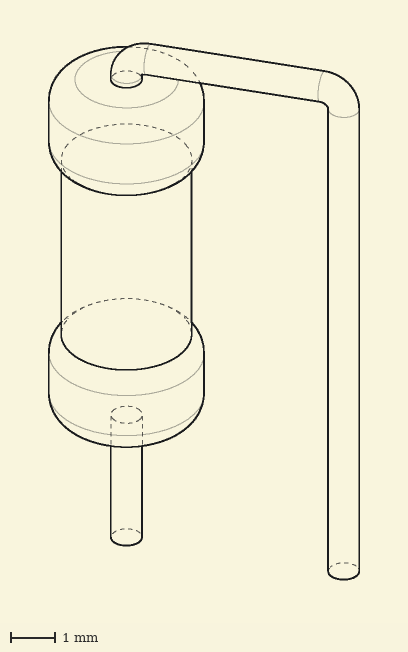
import cadquery as cq

total_height = 13.3
lead_diameter = 0.7
lead_pitch = 5.08
bend_radius = 0.5

body_diameter = 2.94
cap_diameter = 3.5
body_bottom = 3.3
body_top = 12.32
cap_height = 2.25
cap_fillet = 0.59

lead_radius = lead_diameter / 2
crossbar_height = total_height - lead_radius


def make_cap(bottom):
    """End cap with both rims rounded."""
    cap = cq.Workplane("XY").workplane(offset=bottom).circle(cap_diameter / 2).extrude(cap_height)
    return cap.edges("%CIRCLE").fillet(cap_fillet)


def make_body():
    """Central cylinder joined to the lower and upper caps."""
    core_bottom = body_bottom + cap_height / 2
    core_length = body_top - body_bottom - cap_height
    core = cq.Workplane("XY").workplane(offset=core_bottom).circle(body_diameter / 2).extrude(core_length)
    return core.union(make_cap(body_bottom)).union(make_cap(body_top - cap_height))


def make_lead():
    """Round wire that runs up the body axis, across and back down."""
    bend_start = crossbar_height - bend_radius
    path = (
        cq.Workplane("XZ")
        .lineTo(0, bend_start)
        .tangentArcPoint((bend_radius, bend_radius))
        .lineTo(lead_pitch - bend_radius, crossbar_height)
        .tangentArcPoint((bend_radius, -bend_radius))
        .lineTo(lead_pitch, 0)
    )
    return cq.Workplane("XY").circle(lead_radius).sweep(path)


result = make_body().union(make_lead())